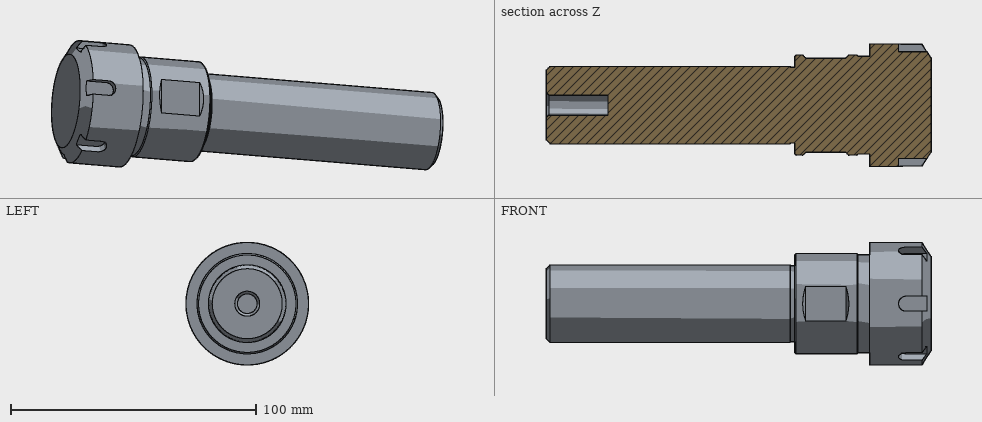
import cadquery as cq

total_length = 157.0

shank_radius = 15.9
shank_end = 99.4
shank_chamfer = 1.5
relief_radius = 15.5

collar_radius = 20.48
collar_start = 101.2
collar_end = 127.1
collar_chamfer = 0.6
neck_radius = 20.01

nut_radius = 25.04
nut_start = 131.9
nut_cone_start = 153.2
nut_face_radius = 19.2

flat_distance = 19.23
flat_start = 105.8
flat_end = 122.1

slot_count = 6
slot_width = 6.1
slot_start = 143.6
slot_floor = 21.8

hole_diameter = 8.0
hole_mouth_diameter = 10.2
hole_depth = 25.1


def turned_body():
    relief_step = shank_radius - relief_radius
    neck_step = collar_radius - neck_radius
    profile = [
        (0, 0),
        (0, shank_radius - shank_chamfer),
        (shank_chamfer, shank_radius),
        (shank_end, shank_radius),
        (shank_end + relief_step, relief_radius),
        (collar_start, relief_radius),
        (collar_start, collar_radius - collar_chamfer),
        (collar_start + collar_chamfer, collar_radius),
        (collar_end - neck_step, collar_radius),
        (collar_end, neck_radius),
        (nut_start, neck_radius),
        (nut_start, nut_radius),
        (nut_cone_start, nut_radius),
        (total_length, nut_face_radius),
        (total_length, 0),
    ]
    return cq.Workplane("XY").polyline(profile).close().revolve(360, (0, 0, 0), (1, 0, 0))


def wrench_flat():
    """Cutter for the flat on the -Y side, widening outward past the collar surface."""
    cut_depth = collar_radius - flat_distance + collar_chamfer
    outline = [
        (flat_start, -flat_distance),
        (flat_end, -flat_distance),
        (flat_end + cut_depth, -flat_distance - cut_depth),
        (flat_start - cut_depth, -flat_distance - cut_depth),
    ]
    return cq.Workplane("XY").polyline(outline).close().extrude(collar_radius, both=True)


def spanner_slot():
    """Cutter for the slot on the -Y side: round at the back, open at the nut face."""
    round_radius = slot_width / 2
    round_center = slot_start + round_radius
    return (
        cq.Workplane("XZ", origin=(0, -slot_floor, 0))
        .moveTo(total_length, round_radius)
        .lineTo(round_center, round_radius)
        .threePointArc((slot_start, 0), (round_center, -round_radius))
        .lineTo(total_length, -round_radius)
        .close()
        .extrude(nut_radius - slot_floor + round_radius)
    )


def around_axis(cutter, index, count):
    return cutter.rotate((0, 0, 0), (1, 0, 0), index * 360 / count)


result = turned_body()

for index in range(2):
    result = result.cut(around_axis(wrench_flat(), index, 2))

for index in range(slot_count):
    result = result.cut(around_axis(spanner_slot(), index, slot_count))

result = result.faces("<X").workplane().cskHole(hole_diameter, hole_mouth_diameter, 90, hole_depth)